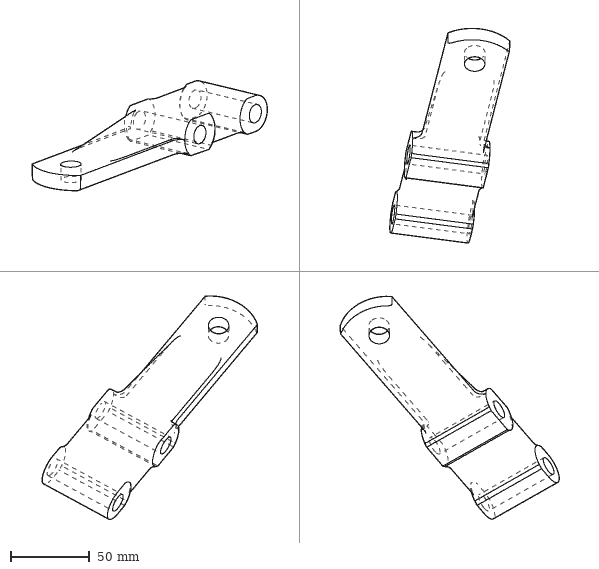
import cadquery as cq
import math

TILT = 1.24

WIDTH = 50.0
AXIS_HEIGHT = 12.0
PIVOT_SPACING = 55.0
PIVOT_BORE = 12.0
EYE_BACK_RADIUS = 13.5
BOSS_RADIUS = 15.0

BODY_DEPTH = 10.0
WAIST_WIDTH = 47.0

ARM_WIDTH = 40.0
ARM_LENGTH = 174.9
ARM_TIP_RADIUS = 31.0
ARM_TOP = 0.25
ARM_HOLE = 13.0
ARM_HOLE_POSITION = 153.0
RAMP_WIDTH = 35.0
RAMP_START = 72.0
RAMP_END = 132.9

EDGE_ROUND = 2.5
BOTTOM_ROUND = 2.0
WAIST_FILLET = 2.5
RAMP_FILLET = 4.0
ARM_FILLET = 6.0

RAMP_SLOPE = (AXIS_HEIGHT - ARM_TOP) / (RAMP_END - RAMP_START)
EYE_BACK_OFFSET = EYE_BACK_RADIUS - AXIS_HEIGHT
ROUGH_WIDTH = 2 * WIDTH
ROUGH_LENGTH = ARM_LENGTH + WIDTH
CLOSE = 0.01


def extrude_across(profile, width):
    """Close a YZ profile and extrude it symmetrically along X."""
    return profile.close().extrude(width / 2, both=True)


def block(width, y_min, y_max, z_min, z_max):
    """Box centred on X = 0 with the given Y and Z limits."""
    corners = [(y_min, z_min), (y_max, z_min), (y_max, z_max), (y_min, z_max)]
    return extrude_across(cq.Workplane("YZ").polyline(corners), width)


def cross_cylinder(y, radius, length):
    """Cylinder along X at axis height, centred on X = 0."""
    return cq.Workplane("YZ").center(y, 0).circle(radius).extrude(length / 2, both=True)


def drop_along_underside(y):
    """Height change of a boss underside at a distance y from its axis; it ends up level."""
    return -y * math.tan(math.radians(TILT))


def eye_boss():
    """End boss: half-round outer end, flat top and underside, rounder back toward the waist."""
    tilt = math.radians(TILT)
    tangent = (-AXIS_HEIGHT * math.sin(tilt), -AXIS_HEIGHT * math.cos(tilt))
    back = -2 * AXIS_HEIGHT
    under = -AXIS_HEIGHT / math.cos(tilt) + drop_along_underside(back)
    profile = (
        cq.Workplane("YZ")
        .moveTo(0, AXIS_HEIGHT)
        .threePointArc((AXIS_HEIGHT, 0), tangent)
        .lineTo(back, under)
        .lineTo(back, AXIS_HEIGHT)
    )
    outline = cross_cylinder(-EYE_BACK_OFFSET, EYE_BACK_RADIUS, ROUGH_WIDTH)
    front = block(ROUGH_WIDTH, -EYE_BACK_OFFSET, 2 * AXIS_HEIGHT, -2 * AXIS_HEIGHT, 2 * AXIS_HEIGHT)
    return extrude_across(profile, ROUGH_WIDTH).intersect(outline.union(front))


def middle_boss():
    """Round boss cut flat at the top and underside."""
    reach = 2 * AXIS_HEIGHT
    under = -AXIS_HEIGHT / math.cos(math.radians(TILT))
    corners = [
        (reach - PIVOT_SPACING, under + drop_along_underside(reach)),
        (reach - PIVOT_SPACING, AXIS_HEIGHT),
        (-reach - PIVOT_SPACING, AXIS_HEIGHT),
        (-reach - PIVOT_SPACING, under + drop_along_underside(-reach)),
    ]
    limits = extrude_across(cq.Workplane("YZ").polyline(corners), ROUGH_WIDTH)
    return cross_cylinder(-PIVOT_SPACING, BOSS_RADIUS, ROUGH_WIDTH).intersect(limits)


def ramp():
    """Ramp, carried on below the arm top so that its edge rounds run out there."""
    run_out = RAMP_END + (ARM_TOP + BODY_DEPTH) / RAMP_SLOPE
    corners = [
        (-PIVOT_SPACING, -BODY_DEPTH),
        (-PIVOT_SPACING, AXIS_HEIGHT),
        (-RAMP_START, AXIS_HEIGHT),
        (-run_out, -BODY_DEPTH),
    ]
    return extrude_across(cq.Workplane("YZ").polyline(corners), RAMP_WIDTH)


def fillet_boss_roots(body, side_width, y_min, y_max, radius):
    """Fillet the arcs where a boss stands on side faces that are side_width apart."""
    roots = []
    for edge in body.edges("%CIRCLE").vals():
        center = edge.Center()
        on_side = edge.BoundingBox().xlen < CLOSE and abs(abs(center.x) - side_width / 2) < CLOSE
        if on_side and y_min < center.y < y_max:
            roots.append(edge)
    return body.newObject(roots).fillet(radius)


def side_edges_at(body, height):
    """Level edges at one height that bound the body sideways, short of the rough boss ends."""
    found = []
    for edge in body.edges().vals():
        box = edge.BoundingBox()
        level = box.zlen < CLOSE and abs(box.center.z - height) < CLOSE
        sideways = CLOSE < abs(box.center.x) < ROUGH_WIDTH / 2 - CLOSE
        if level and sideways:
            found.append(edge)
    return found


def sloping_edges(body):
    """The two long upper edges of the ramp."""
    found = []
    for edge in body.edges("%LINE").vals():
        box = edge.BoundingBox()
        if box.xlen < CLOSE and box.ylen > RAMP_END - RAMP_START and box.zlen > AXIS_HEIGHT:
            found.append(edge)
    return found


def above_underside(body):
    """The part of a body above the underside of the waist and arm."""
    return body.intersect(block(ROUGH_WIDTH, -ROUGH_LENGTH, WIDTH, -BODY_DEPTH, AXIS_HEIGHT))


def waist_section():
    """Both bosses joined by the waist, down to the body underside, ending at the middle pivot."""
    waist = block(WAIST_WIDTH, -PIVOT_SPACING, 0, -BODY_DEPTH, AXIS_HEIGHT)
    body = above_underside(eye_boss().union(middle_boss())).union(waist)
    body = fillet_boss_roots(body, WAIST_WIDTH, -PIVOT_SPACING, 0, WAIST_FILLET)
    body = body.newObject(side_edges_at(body, AXIS_HEIGHT)).fillet(EDGE_ROUND)
    body = body.newObject(side_edges_at(body, -BODY_DEPTH)).fillet(BOTTOM_ROUND)
    return body.intersect(block(WIDTH, -PIVOT_SPACING, WIDTH, -WIDTH, WIDTH))


def ramp_section():
    """Front of the middle boss and the ramp, above the arm top."""
    body = above_underside(middle_boss()).union(ramp())
    body = fillet_boss_roots(body, RAMP_WIDTH, -RAMP_START, -PIVOT_SPACING, RAMP_FILLET)
    edges = side_edges_at(body, AXIS_HEIGHT) + sloping_edges(body)
    body = body.newObject(edges).fillet(EDGE_ROUND)
    return body.intersect(block(WIDTH, -ROUGH_LENGTH, -PIVOT_SPACING, ARM_TOP, WIDTH))


def arm_tip_limits():
    """Plan outline with the rounded arm tip, from the middle pivot to below the underside."""
    half = WIDTH / 2
    shoulder = ARM_LENGTH - ARM_TIP_RADIUS + math.sqrt(ARM_TIP_RADIUS**2 - half**2)
    return (
        cq.Workplane("XY")
        .workplane(offset=ARM_TOP)
        .moveTo(-half, -PIVOT_SPACING)
        .lineTo(-half, -shoulder)
        .threePointArc((0, -ARM_LENGTH), (half, -shoulder))
        .lineTo(half, -PIVOT_SPACING)
        .close()
        .extrude(-WIDTH)
    )


def arm_section():
    """Front of the middle boss and the arm, from the body underside to the arm top."""
    arm = block(ARM_WIDTH, -ROUGH_LENGTH, -PIVOT_SPACING, -BODY_DEPTH, AXIS_HEIGHT)
    body = above_underside(middle_boss()).union(arm)
    body = fillet_boss_roots(body, ARM_WIDTH, -ROUGH_LENGTH, -PIVOT_SPACING, ARM_FILLET)
    body = body.newObject(side_edges_at(body, -BODY_DEPTH)).fillet(BOTTOM_ROUND)
    return body.intersect(arm_tip_limits())


def boss_undersides():
    """Lower parts of both bosses, which reach below the body underside."""
    below_arm_top = block(WIDTH, -ROUGH_LENGTH, WIDTH, -WIDTH, ARM_TOP)
    return eye_boss().union(middle_boss()).intersect(below_arm_top)


def cut_holes(body):
    """Two pivot bores across the part and one hole down through the arm."""
    for y in (0, -PIVOT_SPACING):
        body = body.cut(cross_cylinder(y, PIVOT_BORE / 2, ROUGH_WIDTH))
    arm_hole = cq.Workplane("XY").center(0, -ARM_HOLE_POSITION).circle(ARM_HOLE / 2).extrude(WIDTH, both=True)
    return body.cut(arm_hole)


level_part = waist_section().union(ramp_section()).union(arm_section()).union(boss_undersides())
result = cut_holes(level_part).rotate((0, 0, 0), (1, 0, 0), TILT)